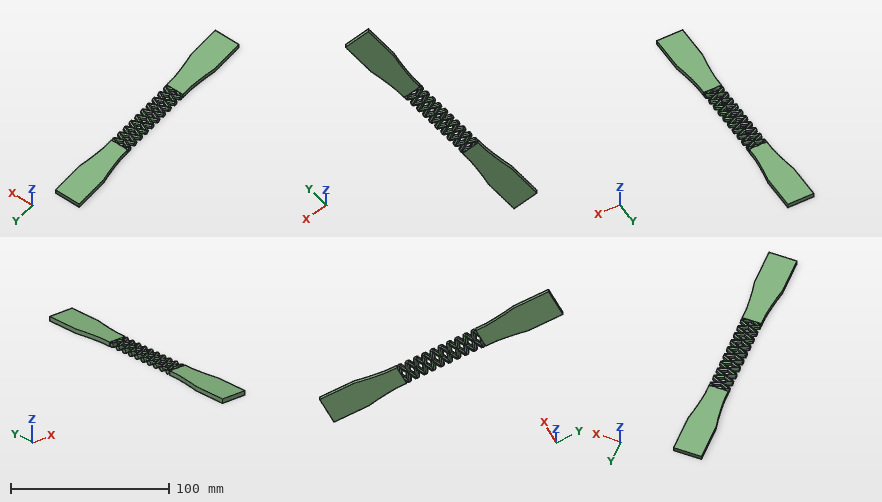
import cadquery as cq
import math

length = 165.0
grip_width = 19.0
thickness = 3.1
gauge_width = 13.0
grip_length = 25.0

shoulder_length = 21.6
shoulder_radius = 181.5
shoulder_facets = 3

lattice_length = 57.0
node_pitch = 6.0
strut_sides = 8
strut_diameter = thickness

half_length = length / 2
half_grip = grip_width / 2
half_gauge = gauge_width / 2
half_lattice = lattice_length / 2
shoulder_outer_y = half_length - grip_length
shoulder_inner_y = shoulder_outer_y - shoulder_length


def shoulder_points():
    """Facet corners of the +X shoulder on the +Y side, from gauge to grip."""
    rise = half_grip - half_gauge
    chord = math.hypot(rise, shoulder_length)
    half_sweep = math.asin(chord / (2 * shoulder_radius))
    chord_tilt = math.atan2(rise, shoulder_length)
    start_tilt = chord_tilt - half_sweep
    centre_x = half_gauge + shoulder_radius * math.cos(start_tilt)
    centre_y = shoulder_inner_y - shoulder_radius * math.sin(start_tilt)
    tilts = [start_tilt + 2 * half_sweep * i / shoulder_facets for i in range(shoulder_facets + 1)]
    return [
        (centre_x - shoulder_radius * math.cos(tilt), centre_y + shoulder_radius * math.sin(tilt))
        for tilt in tilts
    ]


def make_grip():
    """Solid end of the bar on the +Y side, from the lattice to the tip."""
    right_edge = [(half_gauge, half_lattice)] + shoulder_points() + [(half_grip, half_length)]
    left_edge = [(-x, y) for x, y in reversed(right_edge)]
    return (
        cq.Workplane("XY")
        .workplane(offset=-thickness / 2)
        .polyline(right_edge + left_edge)
        .close()
        .extrude(thickness)
    )


def make_strut(centre_y, direction):
    """Octagonal strut through (0, centre_y) with an edge on top; direction +1 climbs toward +Y."""
    angle = math.degrees(math.atan2(direction * node_pitch, gauge_width))
    strut_length = 2 * gauge_width
    return (
        cq.Workplane("YZ")
        .workplane(offset=-strut_length / 2)
        .polygon(strut_sides, strut_diameter)
        .extrude(strut_length)
        .rotate((0, 0, 0), (0, 0, 1), angle)
        .translate((0, centre_y, 0))
    )


def make_lattice():
    """Crossing struts, trimmed to the gauge section between the two grips."""
    last_node = math.ceil(half_lattice / node_pitch)
    struts = [
        make_strut(node * node_pitch, direction).val()
        for node in range(-last_node, last_node + 1)
        for direction in (1, -1)
    ]
    envelope = cq.Workplane("XY").box(gauge_width, lattice_length, 2 * thickness)
    return cq.Workplane(struts[0].fuse(*struts[1:])).intersect(envelope)


grip = make_grip()
result = grip.union(grip.mirror("XZ")).union(make_lattice())